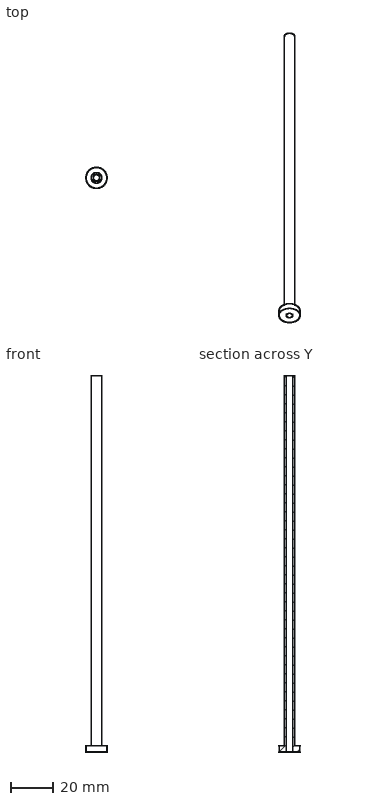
import cadquery as cq

total_length = 178.0
head_diameter = 10.0
head_height = 3.0
tube_diameter = 5.0
bore_diameter = 3.0
neck_fillet_radius = 0.3

head_radius = head_diameter / 2
tube_radius = tube_diameter / 2
neck_foot_radius = tube_radius + neck_fillet_radius
neck_top_height = head_height + neck_fillet_radius


def sleeve_body():
    """Solid head and tube, revolved about Z from half of their section."""
    half_section = (
        cq.Workplane("XZ")
        .lineTo(head_radius, 0)
        .lineTo(head_radius, head_height)
        .lineTo(neck_foot_radius, head_height)
        .radiusArc((tube_radius, neck_top_height), neck_fillet_radius)
        .lineTo(tube_radius, total_length)
        .lineTo(0, total_length)
        .close()
    )
    return half_section.revolve(360, (0, 0, 0), (0, 1, 0))


def through_bore():
    """Cylinder that opens the sleeve along its full length."""
    return cq.Workplane("XY").circle(bore_diameter / 2).extrude(total_length)


result = sleeve_body().cut(through_bore())